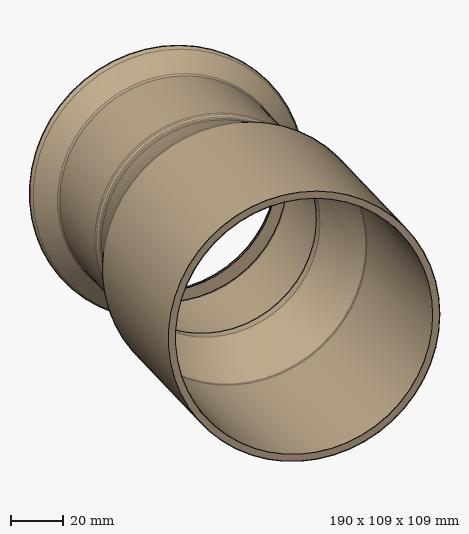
import cadquery as cq
import math

total_length = 190.0
socket_end_x = 62.7
neck_end_x = 67.6
flare_middle_x = 83.6
flare_end_x = 99.5
spigot_start_x = 100.3

socket_radius = 92.0 / 2
spigot_radius = 108.0 / 2
neck_radius = 44.8
flare_middle_radius = 48.8
flare_end_radius = 53.8

socket_bore_radius = 89.0 / 2
socket_wall = socket_radius - socket_bore_radius
neck_bore_radius = 42.0
reducer_wall = neck_radius - neck_bore_radius

lip_radius = 109.0 / 2
lip_round = 3.0
cone_angle = math.radians(42)
root_round = 1.9

step_round = 2.3
step_angle = math.radians(28)


def lip_point(round_radius, angle):
    """Point on a circle about the lip centre; angle is measured from +X."""
    return (
        lip_round + round_radius * math.cos(angle),
        lip_radius - lip_round + round_radius * math.sin(angle),
    )


def cone_foot(start, radius):
    """Point where the cone leaving start reaches the given radius."""
    return (start[0] + (start[1] - radius) / math.tan(cone_angle), radius)


def revolve_profile(profile):
    return profile.close().revolve(360, (0, 0, 0), (1, 0, 0))


def root_blend(foot, round_radius):
    """Start, middle and end of the arc joining the cone to a cylinder."""
    tangent = round_radius * math.tan(cone_angle / 2)
    start = (foot[0] - tangent * math.cos(cone_angle), foot[1] + tangent * math.sin(cone_angle))
    end = (foot[0] + tangent, foot[1])
    centre = (end[0], end[1] + round_radius)
    middle = (
        centre[0] - round_radius * math.sin(cone_angle / 2),
        centre[1] - round_radius * math.cos(cone_angle / 2),
    )
    return start, middle, end


def outer_body():
    normal_angle = math.pi / 2 - cone_angle
    lip_end = lip_point(lip_round, normal_angle)
    foot = cone_foot(lip_end, socket_radius)
    blend_start, blend_middle, blend_end = root_blend(foot, root_round)
    arc_length = step_round * math.sin(step_angle)
    arc_drop = step_round * (1 - math.cos(step_angle))
    slope_drop = socket_radius - neck_radius - 2 * arc_drop
    slope_length = slope_drop / math.tan(step_angle)
    slope_start_x = socket_end_x + arc_length
    slope_end_x = slope_start_x + slope_length
    neck_start_x = slope_end_x + arc_length
    profile = (
        cq.Workplane("XY")
        .lineTo(0, lip_radius - lip_round)
        .threePointArc(lip_point(lip_round, math.pi / 2), lip_end)
        .lineTo(*blend_start)
        .threePointArc(blend_middle, blend_end)
        .lineTo(socket_end_x, socket_radius)
        .tangentArcPoint((slope_start_x, socket_radius - arc_drop), relative=False)
        .lineTo(slope_end_x, neck_radius + arc_drop)
        .tangentArcPoint((neck_start_x, neck_radius), relative=False)
        .lineTo(neck_end_x, neck_radius)
        .threePointArc((flare_middle_x, flare_middle_radius), (flare_end_x, flare_end_radius))
        .tangentArcPoint((spigot_start_x, spigot_radius), relative=False)
        .lineTo(total_length, spigot_radius)
        .lineTo(total_length, 0)
    )
    return revolve_profile(profile)


def bore():
    """Stepped passage: plain socket, shoulder at the neck, flare and spigot."""
    profile = (
        cq.Workplane("XY")
        .lineTo(0, socket_bore_radius)
        .lineTo(socket_end_x, socket_bore_radius)
        .lineTo(socket_end_x, neck_bore_radius)
        .lineTo(neck_end_x, neck_bore_radius)
        .threePointArc(
            (flare_middle_x, flare_middle_radius - reducer_wall),
            (flare_end_x, flare_end_radius - reducer_wall),
        )
        .lineTo(spigot_start_x, spigot_radius - reducer_wall)
        .lineTo(total_length, spigot_radius - reducer_wall)
        .lineTo(total_length, 0)
    )
    return revolve_profile(profile)


def lip_groove():
    """Seal groove inside the lip, following its outside at the socket wall."""
    inner_round = lip_round - socket_wall
    normal_angle = math.pi / 2 - cone_angle
    groove_end = lip_point(inner_round, normal_angle)
    foot = cone_foot(groove_end, socket_bore_radius)
    blend_start, blend_middle, blend_end = root_blend(foot, root_round + socket_wall)
    profile = (
        cq.Workplane("XY")
        .moveTo(socket_wall, 0)
        .lineTo(*lip_point(inner_round, math.pi))
        .threePointArc(lip_point(inner_round, math.pi / 2), groove_end)
        .lineTo(*blend_start)
        .threePointArc(blend_middle, blend_end)
        .lineTo(blend_end[0], 0)
    )
    return revolve_profile(profile)


result = outer_body().cut(bore()).cut(lip_groove())